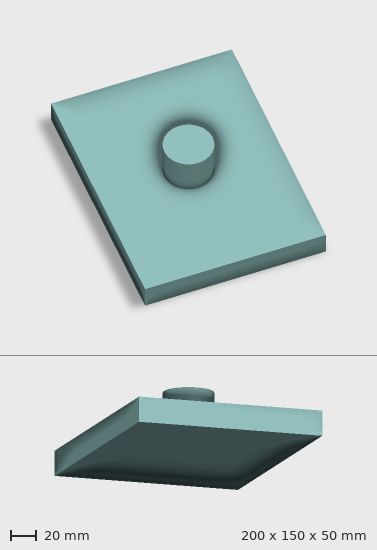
import cadquery as cq

plate_length = 200.0
plate_width = 150.0
plate_thickness = 20.0

boss_diameter = 40.0
boss_height = 30.0

plate = cq.Workplane("XY").box(
    plate_length, plate_width, plate_thickness, centered=(True, True, False)
)

result = plate.faces(">Z").workplane().circle(boss_diameter / 2).extrude(boss_height)